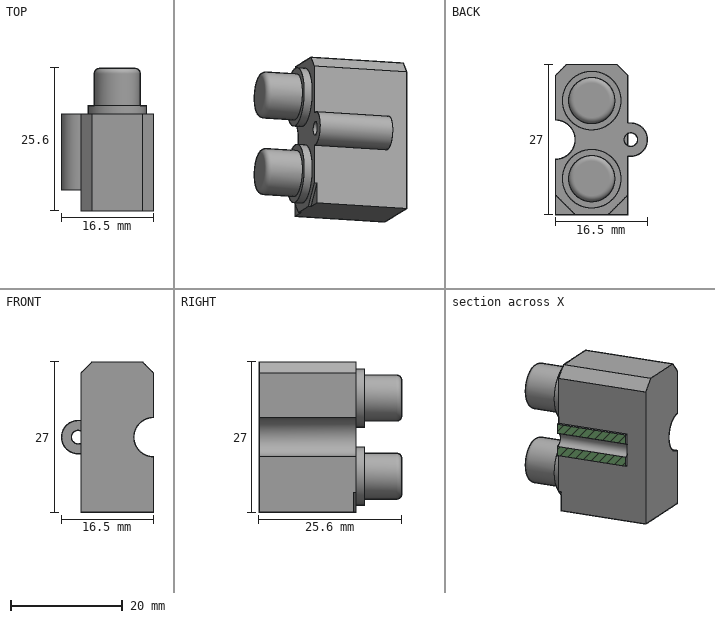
import cadquery as cq

block_width = 13.0
block_depth = 17.4
block_height = 27.0
top_chamfer = 2.0
half_width = block_width / 2
mid_height = block_height / 2

groove_diameter = 7.0

trim_leg = 3.6
trim_depth = 0.5

lug_diameter = 6.0
lug_bore_diameter = 2.4
lug_axis_offset = 0.5
lug_length = 13.65
lug_axis_x = -half_width - lug_axis_offset
lug_start_y = block_depth - lug_length

barrel_spacing = 14.0
barrel_diameter = 8.3
barrel_length = 6.7
barrel_edge_radius = 1.0
collar_diameter = 10.5
collar_thickness = 1.5


def extrude_along_y(sketch_plane_y, length, draw):
    """Extrude the XZ outline made by draw() from the given Y toward +Y."""
    plane = cq.Workplane("XZ", origin=(0, sketch_plane_y, 0))
    return draw(plane).extrude(-length)


def make_block():
    block = cq.Workplane("XY").box(block_width, block_depth, block_height, centered=(True, False, False))
    return block.edges("|Y and >Z").chamfer(top_chamfer)


def make_groove():
    return extrude_along_y(
        0, block_depth, lambda plane: plane.center(half_width, mid_height).circle(groove_diameter / 2)
    )


def make_corner_trim(side):
    """Triangular cutter at a lower back corner; side is -1 for -X and +1 for +X."""
    corner_x = side * half_width
    outline = [(corner_x, 0), (corner_x - side * trim_leg, 0), (corner_x, trim_leg)]
    return extrude_along_y(
        block_depth - trim_depth, trim_depth, lambda plane: plane.polyline(outline).close()
    )


def draw_lug_outline(plane):
    """D-shaped outline: a half circle joined to the block by two short straights."""
    radius = lug_diameter / 2
    return (
        plane.moveTo(-half_width, mid_height + radius)
        .lineTo(lug_axis_x, mid_height + radius)
        .threePointArc((lug_axis_x - radius, mid_height), (lug_axis_x, mid_height - radius))
        .lineTo(-half_width, mid_height - radius)
        .close()
    )


def make_lug():
    return extrude_along_y(lug_start_y, lug_length, draw_lug_outline)


def make_lug_bore():
    """Round bore as long as the lug; its inner side also cuts into the block wall."""
    return extrude_along_y(
        lug_start_y,
        lug_length,
        lambda plane: plane.center(lug_axis_x, mid_height).circle(lug_bore_diameter / 2),
    )


def make_connector(height):
    """Collar and rounded barrel standing on the back face, with the axis at the given height."""
    collar = extrude_along_y(
        block_depth, collar_thickness, lambda plane: plane.center(0, height).circle(collar_diameter / 2)
    )
    barrel = extrude_along_y(
        block_depth + collar_thickness,
        barrel_length,
        lambda plane: plane.center(0, height).circle(barrel_diameter / 2),
    )
    return collar.union(barrel.faces(">Y").edges().fillet(barrel_edge_radius))


result = make_block().cut(make_groove()).union(make_lug()).cut(make_lug_bore())
for direction in (-1, 1):
    result = result.cut(make_corner_trim(direction))
    result = result.union(make_connector(mid_height + direction * barrel_spacing / 2))